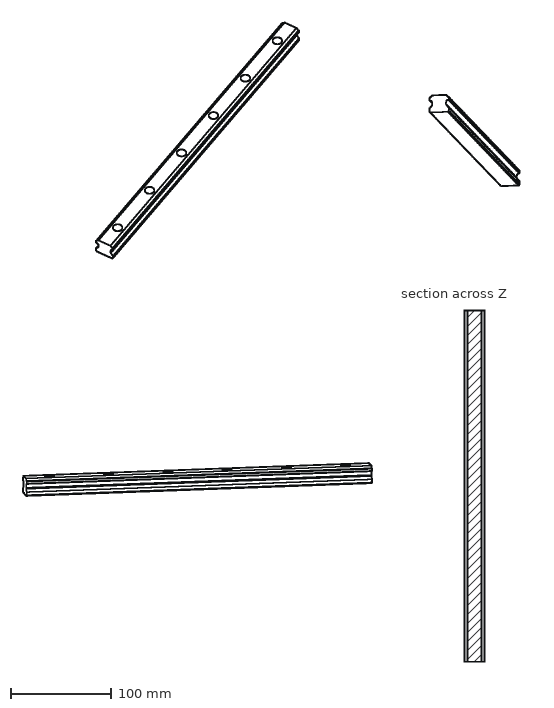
import cadquery as cq

length = 350.0
width = 20.0
height = 17.5
half_width = width / 2

crown_half_width = 7.0
crown_chamfer = 0.88
raceway_radius = 2.0
ear_top = 15.5
ear_bottom = 12.2
ear_chamfer = 0.52

waist_half_width = 7.0
waist_top = 9.5
waist_bottom = 8.0

foot_side_top = 4.2
foot_chamfer = 1.0
foot_slope_root_half_width = 7.5
foot_slope_root_z = 7.0

undercut_half_width = 7.5
undercut_z = 11.0

cap_count = 6
cap_end_margin = 25.0
cap_pitch = (length - 2 * cap_end_margin) / (cap_count - 1)
cap_diameter = 9.5
cap_recess = 0.5


def rail_half():
    """Half of the rail at positive X, drawn from the bottom centre round to the top centre."""
    raceway_edge = half_width - ear_chamfer
    crown_side = crown_half_width + crown_chamfer
    section = (
        cq.Workplane("XZ")
        .lineTo(half_width - foot_chamfer, 0)
        .lineTo(half_width, foot_chamfer)
        .lineTo(half_width, foot_side_top)
        .lineTo(foot_slope_root_half_width, foot_slope_root_z)
        .lineTo(waist_half_width, waist_bottom)
        .lineTo(waist_half_width, waist_top)
        .lineTo(undercut_half_width, undercut_z)
        .radiusArc((raceway_edge, ear_bottom), raceway_radius)
        .lineTo(half_width, ear_bottom + ear_chamfer)
        .lineTo(half_width, ear_top - ear_chamfer)
        .lineTo(raceway_edge, ear_top)
        .radiusArc((crown_side, height - crown_chamfer), raceway_radius)
        .lineTo(crown_half_width, height)
        .lineTo(0, height)
        .close()
    )
    return section.extrude(length / 2, both=True)


def cap_recesses():
    return (
        cq.Workplane("XY", origin=(0, 0, height))
        .rarray(3.5, cap_pitch, 1, cap_count)
        .circle(cap_diameter / 2)
        .extrude(-cap_recess)
    )


half = rail_half()
rail = half.union(half.mirror("YZ")).clean()
result = rail.cut(cap_recesses())